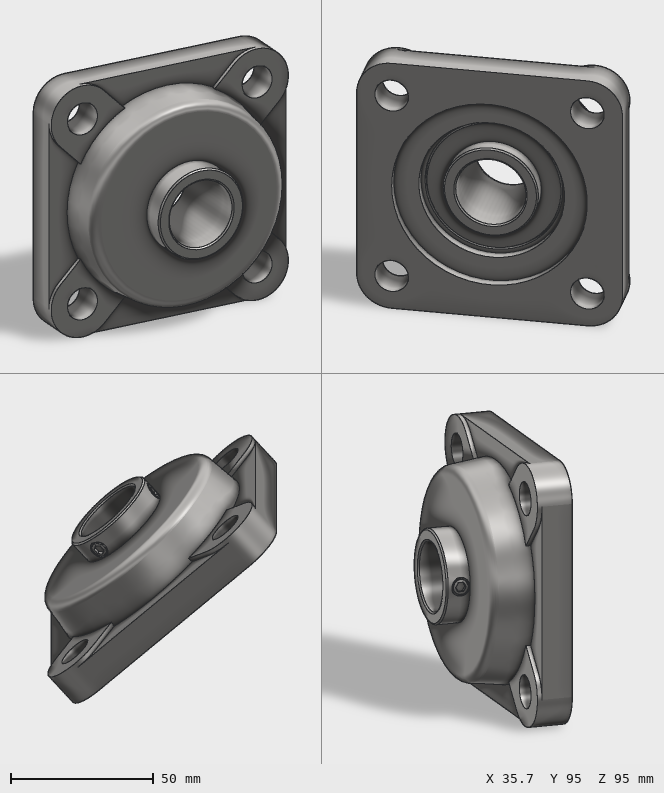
import cadquery as cq
import math


side = 95.0
plate_thickness = 11.3
pad_thickness = 13.0
bolt_pitch = 69.9
bolt_hole_diameter = 12.0
corner_radius = (side - bolt_pitch) / 2

housing_base_radius = 40.2
housing_face = 27.0
housing_draft = math.radians(7.2)
housing_edge_radius = 3.5

outer_recess_radius = bolt_pitch / 2
outer_recess_depth = 3.8
inner_recess_radius = 26.0
inner_recess_depth = 7.5

outer_ring_face = 7.6
outer_ring_face_radius = 23.9
groove_radius = 24.6
groove_depth = 1.9

ring_start = 1.7
ring_end = 35.7
ring_radius = 17.0
bore_radius = 12.5
ring_chamfer = 0.6

screw_position = 30.4
screw_directions = (0, 240)
screw_hole_radius = 3.3
screw_radius = 2.8
screw_gap_depth = 0.95
socket_width = 3.3
socket_depth = 1.2


def disc(start, end, radius):
    return cq.Workplane("YZ", origin=(start, 0, 0)).circle(radius).extrude(end - start)


def revolved(profile):
    """Turn a profile of axial and radial positions about the shaft axis."""
    return profile.close().revolve(360, (0, 0, 0), (1, 0, 0))


def flange():
    plate = cq.Workplane("YZ").rect(side, side).extrude(plate_thickness)
    return plate.edges("|X").fillet(corner_radius)


def bolt_pads():
    """Round-ended pads that run diagonally from the corners into the housing."""
    bolt_circle_radius = bolt_pitch / math.sqrt(2)
    pads = cq.Workplane("YZ")
    for angle in (45, 135, 225, 315):
        pad = disc(0, pad_thickness, corner_radius).translate((0, bolt_circle_radius, 0))
        web = cq.Workplane("XY").box(
            pad_thickness, bolt_circle_radius, 2 * corner_radius, centered=(False, False, True)
        )
        pads = pads.add(pad.union(web).rotate((0, 0, 0), (1, 0, 0), angle))
    return pads.combine()


def housing():
    face_radius = housing_base_radius - (housing_face - plate_thickness) * math.tan(housing_draft)
    profile = (
        cq.Workplane("XY")
        .lineTo(0, housing_base_radius)
        .lineTo(plate_thickness, housing_base_radius)
        .lineTo(housing_face, face_radius)
        .lineTo(housing_face, 0)
    )
    return revolved(profile).faces(">X").edges().fillet(housing_edge_radius)


def outer_ring_recess():
    """Space in front of the bearing outer ring, with the tapered groove around it."""
    profile = (
        cq.Workplane("XY")
        .moveTo(inner_recess_depth, 0)
        .lineTo(inner_recess_depth, groove_radius)
        .lineTo(outer_ring_face + groove_depth, groove_radius)
        .lineTo(outer_ring_face, outer_ring_face_radius)
        .lineTo(outer_ring_face, 0)
    )
    return revolved(profile)


def inner_ring():
    ring = disc(ring_start, ring_end, ring_radius).cut(disc(ring_start, ring_end, bore_radius))
    return ring.faces("<X or >X").edges().chamfer(ring_chamfer)


def set_screw_recess(direction):
    """Gap around the flat end of a set screw, and the hexagon socket in that end."""
    half_facet = 30
    screw_end = cq.Workplane("XZ", origin=(screw_position, ring_radius, 0))
    gap = screw_end.circle(screw_hole_radius).circle(screw_radius).extrude(screw_gap_depth)
    socket_plane = screw_end.transformed(rotate=(0, 0, half_facet))
    socket = socket_plane.polygon(6, socket_width, circumscribed=True).extrude(socket_depth)
    return gap.add(socket).combine().rotate((0, 0, 0), (1, 0, 0), direction)


result = flange().union(bolt_pads()).union(housing())
result = result.cut(disc(0, outer_recess_depth, outer_recess_radius))
result = result.cut(disc(0, inner_recess_depth, inner_recess_radius))
result = result.cut(outer_ring_recess())
result = result.union(inner_ring()).cut(disc(0, ring_end, bore_radius))

bolt_holes = cq.Workplane("YZ").rect(bolt_pitch, bolt_pitch, forConstruction=True).vertices()
result = result.cut(bolt_holes.circle(bolt_hole_diameter / 2).extrude(pad_thickness))

for screw_direction in screw_directions:
    result = result.cut(set_screw_recess(screw_direction))